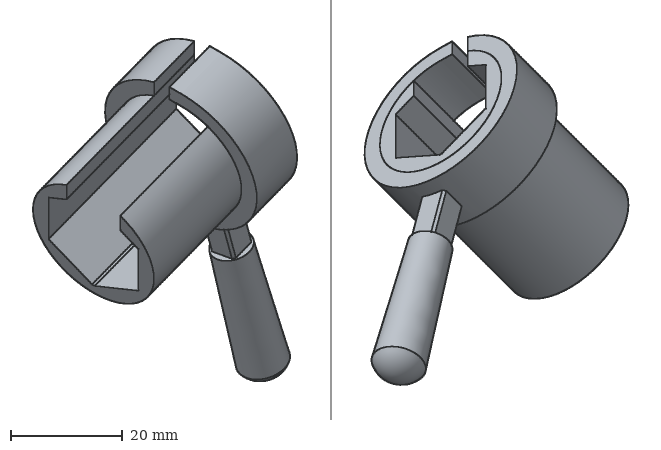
import cadquery as cq
import math

ring_radius = 17.0
tube_radius = 13.5
tube_length = 38.0
ring_width = 12.0
ring_front = tube_length - ring_width

slot_half_width = 6.0
ring_gap_right = -2.55
hex_across_flats = 20.05
hex_corner_radius = hex_across_flats / math.sqrt(3)
hex_bottom_flat = 0.6

lever_angle = 14.6
lever_y = tube_length - ring_width / 2
rod_width = 5.6
rod_chamfer = 0.5
grip_start = 26.9
grip_end = 54.8
grip_start_radius = 4.1
grip_end_radius = 5.0
dome_height = 3.1

def front_plane(y):
    """Plane with X right and Z up; extruding by a negative length goes toward +Y."""
    return cq.Workplane("XZ", origin=(0, y, 0))

def place_on_lever(shape):
    """Turn a shape built along -Z into the lever's direction."""
    return shape.rotate((0, 0, 0), (0, 1, 0), -lever_angle).translate((0, lever_y, 0))

def make_tube():
    """Round tube with a hexagonal bore and an open slot along its top."""
    tube = front_plane(0).circle(tube_radius).extrude(-tube_length)
    half_flats = hex_across_flats / 2
    half_side = hex_corner_radius / 2
    half_bottom = hex_bottom_flat / 2
    bottom_z = -hex_corner_radius + half_bottom / math.sqrt(3)
    bore = (
        front_plane(0)
        .moveTo(0, hex_corner_radius)
        .lineTo(half_flats, half_side)
        .lineTo(half_flats, -half_side)
        .lineTo(half_bottom, bottom_z)
        .lineTo(-half_bottom, bottom_z)
        .lineTo(-half_flats, -half_side)
        .lineTo(-half_flats, half_side)
        .close()
        .extrude(-tube_length)
    )
    slot = (
        front_plane(0)
        .moveTo(0, tube_radius / 2)
        .rect(2 * slot_half_width, tube_radius)
        .extrude(-tube_length)
    )

    return tube.cut(bore).cut(slot)

def make_ring():
    """Split ring around the tube; its right end runs straight from the top to the gap."""
    left_outer_z = math.sqrt(ring_radius**2 - slot_half_width**2)
    left_inner_z = math.sqrt(tube_radius**2 - slot_half_width**2)
    return (
        front_plane(ring_front)
        .moveTo(ring_gap_right, ring_radius)
        .lineTo(0, ring_radius)
        .threePointArc((0, -ring_radius), (-slot_half_width, left_outer_z))
        .lineTo(-slot_half_width, left_inner_z)
        .threePointArc((0, -tube_radius), (0, tube_radius))
        .lineTo(ring_gap_right, tube_radius)
        .close()
        .extrude(-ring_width)
    )

def make_rod():
    """Square rod with bevelled edges, reaching from the ring wall to the grip."""
    rod = (
        cq.Workplane("XY", origin=(0, 0, -grip_start))
        .rect(rod_width, rod_width)
        .extrude(grip_start - tube_radius)
        .edges("|Z")
        .chamfer(rod_chamfer)
    )
    bore = front_plane(ring_front).circle(tube_radius).extrude(-ring_width)
    return place_on_lever(rod).cut(bore)

def make_grip():
    """Tapered round grip with a domed end."""
    dome_radius = (grip_end_radius**2 + dome_height**2) / (2 * dome_height)
    dome_centre = grip_end + dome_height - dome_radius
    half_angle = math.asin(grip_end_radius / dome_radius) / 2
    dome_middle = (
        dome_radius * math.sin(half_angle),
        -dome_centre - dome_radius * math.cos(half_angle),
    )
    grip = (
        cq.Workplane("XZ")
        .moveTo(0, -grip_start)
        .lineTo(grip_start_radius, -grip_start)
        .lineTo(grip_end_radius, -grip_end)
        .threePointArc(dome_middle, (0, -grip_end - dome_height))
        .close()
        .revolve(360, (0, 0, 0), (0, 1, 0))
    )
    return place_on_lever(grip)

tube = make_tube()
ring_with_rod = make_ring().union(make_rod())
grip = make_grip()

result = cq.Compound.makeCompound([tube.val(), ring_with_rod.val(), grip.val()])